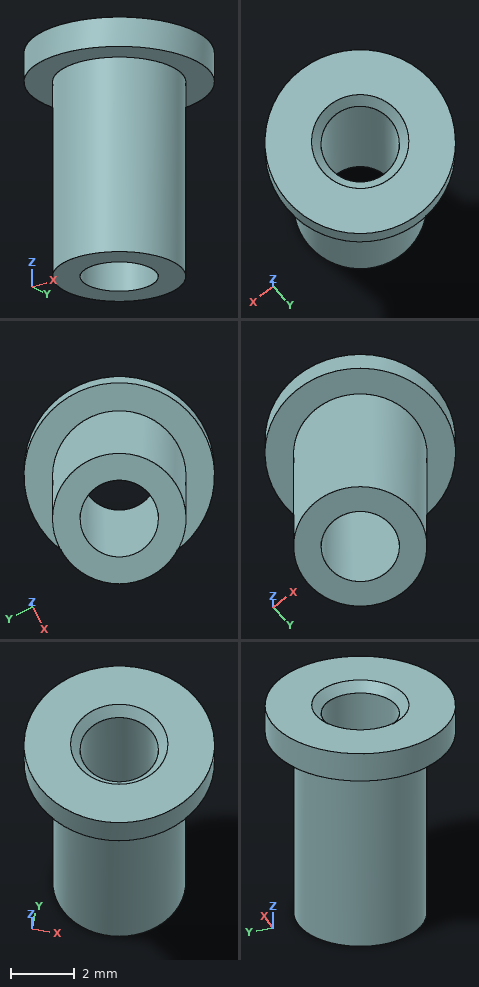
import cadquery as cq

total_height = 7.6
flange_diameter = 6.0
flange_thickness = 1.0
shank_diameter = 4.2
bore_diameter = 2.46
bore_chamfer = 0.3

shank_length = total_height - flange_thickness


def make_shank():
    return cq.Workplane("XY").circle(shank_diameter / 2).extrude(shank_length)


def make_flange():
    flange_plane = cq.Workplane("XY").workplane(offset=shank_length)
    return flange_plane.circle(flange_diameter / 2).extrude(flange_thickness)


def make_bore():
    """Through bore with the conical lead-in at its top, as a solid of revolution."""
    bore_radius = bore_diameter / 2
    mouth_radius = bore_radius + bore_chamfer
    profile = [
        (0, 0),
        (bore_radius, 0),
        (bore_radius, total_height - bore_chamfer),
        (mouth_radius, total_height),
        (0, total_height),
    ]
    return cq.Workplane("XZ").polyline(profile).close().revolve(360, (0, 0, 0), (0, 1, 0))


result = make_shank().union(make_flange()).cut(make_bore())